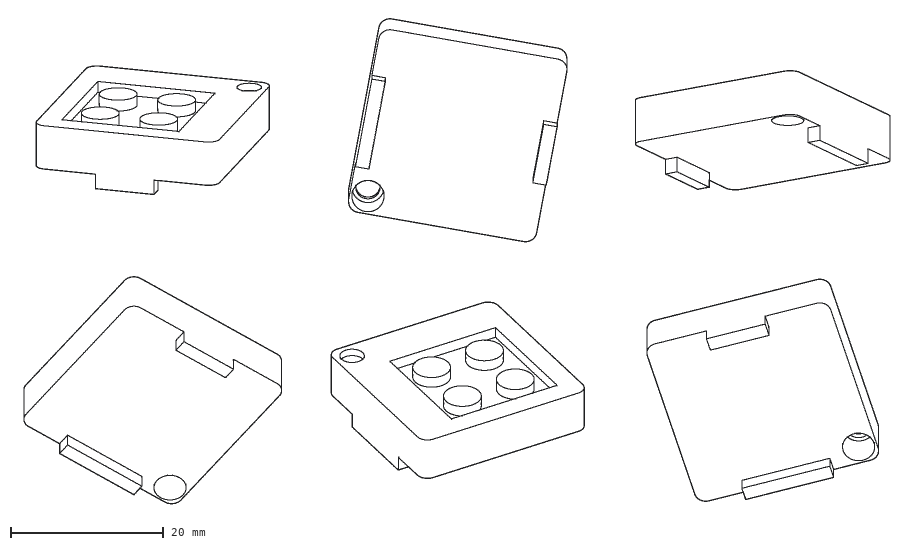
import cadquery as cq

body_side = 25.0
body_height = 6.0
corner_radius = 1.5

pocket_side = 16.0
pocket_depth = 1.5
pocket_center = (-1.5, -1.5)
stud_pitch = 8.0
stud_diameter = 4.95
stud_height = 1.5

ring_hole_diameter = 3.2
ring_hole_inset = 2.4
ring_hole_lip = 1.0
counterbore_diameter = 4.2

tab_height = 2.0
tab_thickness = 1.8
front_tab_width = 8.0
rear_tab_width = 12.0


def make_body():
    body = cq.Workplane("XY").box(body_side, body_side, body_height, centered=(True, True, False))
    return body.edges("|Z").fillet(corner_radius)


def make_pocket():
    floor = cq.Workplane("XY", origin=(*pocket_center, body_height - pocket_depth))
    return floor.rect(pocket_side, pocket_side).extrude(pocket_depth)


def make_studs():
    floor = cq.Workplane("XY", origin=(*pocket_center, body_height - pocket_depth))
    return floor.rarray(stud_pitch, stud_pitch, 2, 2).circle(stud_diameter / 2).extrude(stud_height)


def make_ring_hole():
    """Through hole with a lip of the smaller diameter left at the top face."""
    center = body_side / 2 - ring_hole_inset
    axis = cq.Workplane("XY").center(center, center)
    hole = axis.circle(ring_hole_diameter / 2).extrude(body_height)
    counterbore = axis.circle(counterbore_diameter / 2).extrude(body_height - ring_hole_lip)
    return hole.union(counterbore)


def make_tab(width, side):
    """Tab flush with the body edge on the given Y side (-1 or +1)."""
    center_y = side * (body_side - tab_thickness) / 2
    return cq.Workplane("XY").center(0, center_y).rect(width, tab_thickness).extrude(-tab_height)


result = make_body().cut(make_pocket()).union(make_studs()).cut(make_ring_hole())
result = result.union(make_tab(front_tab_width, side=-1)).union(make_tab(rear_tab_width, side=1))